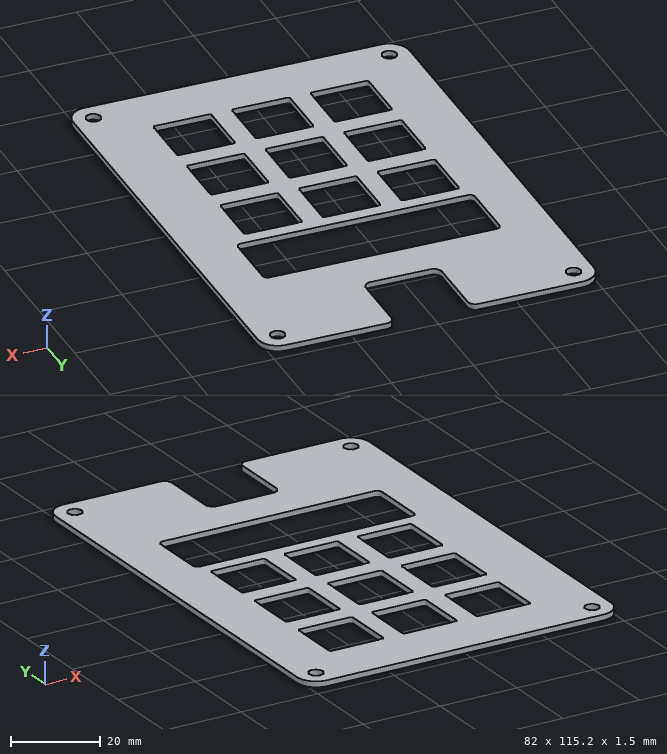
import cadquery as cq

plate_width = 82.0
plate_length = 115.2
thickness = 1.5
corner_radius = 5.0

hole_diameter = 3.5
hole_spacing_x = plate_width - 2 * corner_radius
hole_spacing_y = plate_length - 2 * corner_radius

notch_width = 18.4
notch_depth = 18.4
notch_center_x = 0.3
notch_radius = 2.0

window_width = 57.6
window_height = 16.4
window_center_y = 20.2
window_radius = 1.2

keys_per_side = 3
key_size = 14.1
key_pitch = 19.1
key_grid_center = (-0.9, -17.7)
key_radius = 0.5


def rounded_block(width, length, radius):
    """Plate-thick block centred in X and Y, with rounded vertical edges."""
    return cq.Workplane("XY").box(width, length, thickness).edges("|Z").fillet(radius)


def cut_screw_holes(body):
    return (
        body.faces(">Z")
        .workplane(origin=(0, 0, 0))
        .rect(hole_spacing_x, hole_spacing_y, forConstruction=True)
        .vertices()
        .hole(hole_diameter)
    )


def cut_notch(body):
    """Open notch; its inner corners and its mouth are all rounded alike."""
    edge_y = plate_length / 2
    block_length = 2 * notch_depth
    block = rounded_block(notch_width, block_length, notch_radius)
    body = body.cut(block.translate((notch_center_x, edge_y, 0)))
    for side in (-1, 1):
        mouth_x = notch_center_x + side * notch_width / 2
        mouth_edge = cq.selectors.NearestToPointSelector((mouth_x, edge_y, 0))
        body = body.edges("|Z").edges(mouth_edge).fillet(notch_radius)
    return body


def cut_window(body):
    window = rounded_block(window_width, window_height, window_radius)
    return body.cut(window.translate((0, window_center_y, 0)))


def cut_keys(body):
    key = rounded_block(key_size, key_size, key_radius)
    first_offset = -key_pitch * (keys_per_side - 1) / 2
    grid_x, grid_y = key_grid_center
    for column in range(keys_per_side):
        for row in range(keys_per_side):
            key_x = grid_x + first_offset + column * key_pitch
            key_y = grid_y + first_offset + row * key_pitch
            body = body.cut(key.translate((key_x, key_y, 0)))
    return body


plate = rounded_block(plate_width, plate_length, corner_radius)
plate = cut_screw_holes(plate)
plate = cut_notch(plate)
plate = cut_window(plate)
result = cut_keys(plate)